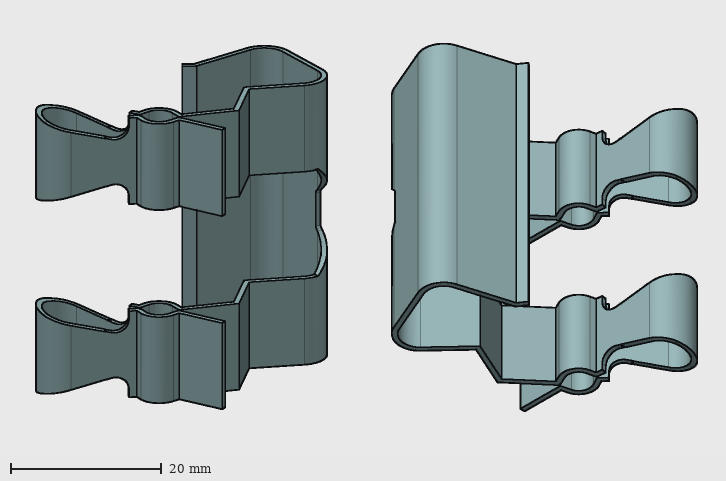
import cadquery as cq
import math


THICKNESS = 0.8
HEIGHT = 40.01
ARM_HEIGHT = 12.35
ARM_BOTTOM = HEIGHT / 2 - ARM_HEIGHT

BACK_Y = 26.78
LIP_END = (-13.06, 12.72)
LIP_BEND = (-12.09, 14.2)
HOOK_RADIUS = 3.35
HOOK_CENTRE = (-9.39, BACK_Y - HOOK_RADIUS)
SHOULDER_RADIUS = 3.3
SHOULDER_CENTRE = (-1.27, BACK_Y - SHOULDER_RADIUS)

WINDOW_EDGE_X = -1.64
WINDOW_HALF_HEIGHT = 2.94
WINDOW_CORNER_RADIUS = 0.5

ARM_INNER_BEND = (-1.48, 15.13)
ARM_OUTER_BEND = (3.97, 9.73)
TAIL_END = (8.67, 4.44)

AXIS_ANGLE = 46.9
EYE_RADIUS = 2.45
MOUTH_DISTANCE = 2.75
NECK_DISTANCE = 2.7
HALF_GAP = 0.56
LOOP_DISTANCE = 12.54
LOOP_RADIUS = 3.56

TIP_TRIM_LENGTH = 1.7
TIP_TRIM_DEPTH = 0.63
FLARE_SLOPE = 0.265
NOTCH_START = 1.3
NOTCH_LENGTH = 3.2
NOTCH_OVERLAP = 0.4
NOTCH_RADIUS = 1.9

LOOP_TIP = LOOP_DISTANCE + LOOP_RADIUS + THICKNESS / 2
FLARE_END = LOOP_TIP - TIP_TRIM_LENGTH

CUT_MARGIN = 1.0


def on_axis(distance, side):
    """Point at a distance along the slanted axis and an offset to its left."""
    angle = math.radians(AXIS_ANGLE)
    return (
        distance * math.cos(angle) - side * math.sin(angle),
        distance * math.sin(angle) + side * math.cos(angle),
    )


def angle_of(start, end):
    return math.degrees(math.atan2(end[1] - start[1], end[0] - start[0]))


def polar(centre, radius, angle):
    return (
        centre[0] + radius * math.cos(math.radians(angle)),
        centre[1] + radius * math.sin(math.radians(angle)),
    )


def tangent_angle(point, centre, radius, turn):
    """Angle on a circle where the tangent from an outside point touches it."""
    reach = math.degrees(math.acos(radius / math.dist(point, centre)))
    return angle_of(centre, point) + turn * reach


def offset_line(points, offset):
    """Polyline moved sideways, with mitred corners."""
    headings = [math.radians(angle_of(a, b)) for a, b in zip(points, points[1:])]
    before = [headings[0]] + headings
    after = headings + [headings[-1]]
    moved = []
    for (x, y), h_in, h_out in zip(points, before, after):
        middle = (h_in + h_out) / 2
        reach = offset / math.cos((h_out - h_in) / 2)
        moved.append((x - reach * math.sin(middle), y + reach * math.cos(middle)))
    return moved


def straight_strip(points, bottom, height):
    left = offset_line(points, THICKNESS / 2)
    right = offset_line(points, -THICKNESS / 2)
    return cq.Workplane().workplane(offset=bottom).polyline(left + right[::-1]).close().extrude(height)


def sector(plane, centre, radius, start, end, thickness=THICKNESS):
    """Closed outline of an arc-shaped strip from a start to an end angle."""
    outer = radius + thickness / 2
    inner = radius - thickness / 2
    middle = (start + end) / 2
    return (
        plane.moveTo(*polar(centre, outer, start))
        .threePointArc(polar(centre, outer, middle), polar(centre, outer, end))
        .lineTo(*polar(centre, inner, end))
        .threePointArc(polar(centre, inner, middle), polar(centre, inner, start))
        .close()
    )


def curved_strip(centre, radius, start, end, bottom, height):
    plane = cq.Workplane().workplane(offset=bottom)
    return sector(plane, centre, radius, start, end).extrude(height)


def both_sides(solid, level=0):
    """A solid together with its mirror image below the given level."""
    return solid.union(solid.mirror("XY", (0, 0, level)))


def make_back():
    """Full-height lip, hook bend and back plate, with the window's end cut out."""
    hook_start = tangent_angle(LIP_BEND, HOOK_CENTRE, HOOK_RADIUS, -1) % 360
    hook_point = polar(HOOK_CENTRE, HOOK_RADIUS, hook_start)
    bottom = -HEIGHT / 2
    lip = straight_strip([LIP_END, LIP_BEND, hook_point], bottom, HEIGHT)
    hook = curved_strip(HOOK_CENTRE, HOOK_RADIUS, 90, hook_start, bottom, HEIGHT)
    plate_ends = [(HOOK_CENTRE[0], BACK_Y), (SHOULDER_CENTRE[0], BACK_Y)]
    plate = straight_strip(plate_ends, bottom, HEIGHT)
    return lip.union(hook).union(plate.cut(make_window_end()))


def make_window_end():
    """Blunt end of the window, with 45 degree flanks and rounded corners."""
    far_x = SHOULDER_CENTRE[0] + CUT_MARGIN
    far_half = WINDOW_HALF_HEIGHT + CUT_MARGIN
    end_half = WINDOW_HALF_HEIGHT - (SHOULDER_CENTRE[0] - WINDOW_EDGE_X)
    return (
        cq.Workplane("XZ", origin=(0, BACK_Y, 0))
        .polyline([
            (WINDOW_EDGE_X, -end_half),
            (far_x, -far_half),
            (far_x, far_half),
            (WINDOW_EDGE_X, end_half),
        ])
        .close()
        .extrude(THICKNESS, both=True)
        .edges("<X")
        .edges("|Y")
        .fillet(WINDOW_CORNER_RADIUS)
    )


def make_shoulder_web():
    """Part of the shoulder bend between the arms, ending in a 45 degree helical edge."""
    rise = ARM_BOTTOM - WINDOW_HALF_HEIGHT
    span = math.degrees(rise / SHOULDER_RADIUS)
    plane = cq.Workplane(origin=(*SHOULDER_CENTRE, WINDOW_HALF_HEIGHT))
    outline = sector(plane, (0, 0), SHOULDER_RADIUS, 90, 90 + span, 2 * THICKNESS)
    twisted = outline.twistExtrude(rise, -span)
    bend = curved_strip(SHOULDER_CENTRE, SHOULDER_RADIUS, 90 - span, 90, WINDOW_HALF_HEIGHT, rise)
    return both_sides(twisted.intersect(bend))


def make_arm():
    """Upper arm: shoulder bend, zigzag, eye, loop and tail."""
    def straight(points):
        return straight_strip(points, ARM_BOTTOM, ARM_HEIGHT)

    def curved(centre, radius, start, end):
        return curved_strip(centre, radius, start, end, ARM_BOTTOM, ARM_HEIGHT)

    shoulder_end = tangent_angle(ARM_INNER_BEND, SHOULDER_CENTRE, SHOULDER_RADIUS, 1)
    shoulder_point = polar(SHOULDER_CENTRE, SHOULDER_RADIUS, shoulder_end)
    arm = curved(SHOULDER_CENTRE, SHOULDER_RADIUS, shoulder_end, 90)

    eye = (0, 0)
    loop = on_axis(-LOOP_DISTANCE, 0)
    starts = {1: [shoulder_point, ARM_INNER_BEND, ARM_OUTER_BEND], -1: [TAIL_END]}
    neck_angles = {}
    for side, start in starts.items():
        mouth = on_axis(MOUTH_DISTANCE, side * HALF_GAP)
        neck = on_axis(-NECK_DISTANCE, side * HALF_GAP)
        eye_start = tangent_angle(mouth, eye, EYE_RADIUS, side)
        eye_end = tangent_angle(neck, eye, EYE_RADIUS, -side)
        if side > 0:
            eye_end %= 360
        neck_angles[side] = tangent_angle(neck, loop, LOOP_RADIUS, side)
        loop_point = polar(loop, LOOP_RADIUS, neck_angles[side])
        arm = arm.union(straight(start + [mouth, polar(eye, EYE_RADIUS, eye_start)]))
        arm = arm.union(curved(eye, EYE_RADIUS, eye_start, eye_end))
        strand = straight([polar(eye, EYE_RADIUS, eye_end), neck, loop_point])
        arm = arm.union(strand.cut(make_notches(neck, loop_point)))
    arm = arm.union(curved(loop, LOOP_RADIUS, neck_angles[1], neck_angles[-1] + 360))
    return arm.cut(make_flare_trim())


def flare_depth(distance):
    """Depth of the loop's straight tapered edge at a distance along its axis."""
    return TIP_TRIM_DEPTH + FLARE_SLOPE * (FLARE_END - distance)


def make_notches(neck, loop_point):
    """Rounded notches in both edges of a neck strand, square to the sheet."""
    direction = (loop_point[0] - neck[0], loop_point[1] - neck[1], 0)
    plane = cq.Plane(
        origin=(*neck, HEIGHT / 2),
        xDir=direction,
        normal=(direction[1], -direction[0], 0),
    )
    end = NOTCH_START + NOTCH_LENGTH
    lean = math.radians(angle_of(neck, loop_point) - AXIS_ANGLE - 180)
    start_depth = flare_depth(NECK_DISTANCE + NOTCH_START * math.cos(lean))
    end_depth = flare_depth(NECK_DISTANCE + end * math.cos(lean))
    deep_corner = plane.toWorldCoords((NOTCH_START, -start_depth))
    notch = (
        cq.Workplane(plane)
        .polyline([
            (NOTCH_START, CUT_MARGIN),
            (NOTCH_START, -start_depth),
            (end, -end_depth),
            (end, CUT_MARGIN),
        ])
        .close()
        .extrude(THICKNESS, both=True)
        .edges(cq.selectors.NearestToPointSelector(deep_corner.toTuple()))
        .fillet(NOTCH_RADIUS)
    )
    return both_sides(notch, ARM_BOTTOM + ARM_HEIGHT / 2)


def make_flare_trim():
    """Wedges that taper the loop from its tip towards the neck, seen across its axis."""
    angle = math.radians(AXIS_ANGLE)
    plane = cq.Plane(
        origin=(0, 0, HEIGHT / 2),
        xDir=(-math.cos(angle), -math.sin(angle), 0),
        normal=(-math.sin(angle), math.cos(angle), 0),
    )
    start = NECK_DISTANCE + NOTCH_START + NOTCH_LENGTH - NOTCH_OVERLAP
    wedge = (
        cq.Workplane(plane)
        .polyline([
            (LOOP_TIP, 0),
            (FLARE_END, -TIP_TRIM_DEPTH),
            (start, -flare_depth(start)),
            (start, CUT_MARGIN),
            (LOOP_TIP, CUT_MARGIN),
        ])
        .close()
        .extrude(2 * LOOP_RADIUS, both=True)
    )
    return both_sides(wedge, ARM_BOTTOM + ARM_HEIGHT / 2)


result = make_back().union(make_shoulder_web()).union(both_sides(make_arm()))